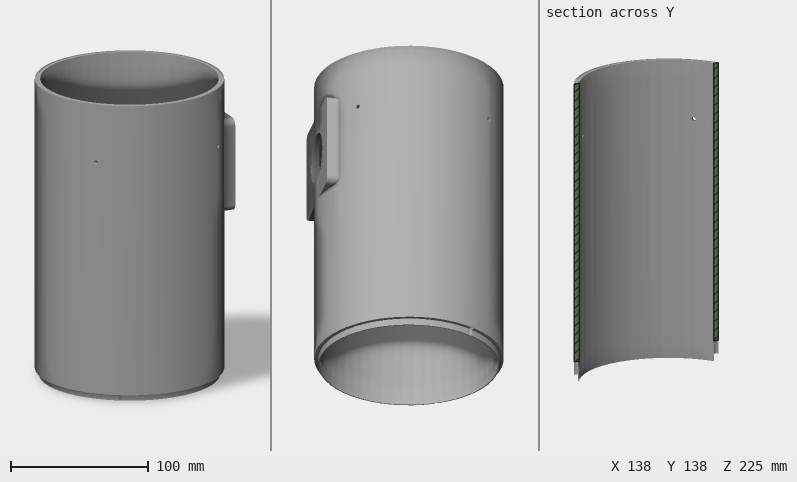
import cadquery as cq
import math

total_height = 225.0
outer_diameter = 138.0
bore_diameter = 130.0
spigot_diameter = 131.8
spigot_height = 5.0

pad_size = 70.0
pad_corner_radius = 5.0
pad_top_gap = 30.0
pad_face_y = 68.6
pad_center_z = total_height - pad_top_gap - pad_size / 2
opening_diameter = 38.0

side_hole_diameter = 3.2
side_hole_z = 181.0
side_hole_angles = (45, 135, 225, 315)

end_hole_diameter = 3.5
end_hole_depth = 15.0
end_hole_circle_radius = (outer_diameter + bore_diameter) / 4
end_hole_angles = (210, 330)


def cylinder(diameter, bottom_z, top_z):
    base = cq.Workplane("XY").workplane(offset=bottom_z)
    return base.circle(diameter / 2).extrude(top_z - bottom_z)


def mounting_pad():
    block = cq.Workplane("XY").box(pad_size, pad_face_y, pad_size, centered=(True, False, True))
    return block.edges("|Y").fillet(pad_corner_radius).translate((0, 0, pad_center_z))


def radial_hole(diameter, angle, height):
    direction = cq.Vector(math.cos(math.radians(angle)), math.sin(math.radians(angle)), 0)
    start = cq.Vector(0, 0, height)
    return cq.Workplane(cq.Solid.makeCylinder(diameter / 2, outer_diameter, start, direction))


def end_hole(angle):
    x = end_hole_circle_radius * math.cos(math.radians(angle))
    y = end_hole_circle_radius * math.sin(math.radians(angle))
    return cylinder(end_hole_diameter, 0, end_hole_depth).translate((x, y, 0))


result = cylinder(outer_diameter, spigot_height, total_height)
result = result.union(cylinder(spigot_diameter, 0, spigot_height))
result = result.union(mounting_pad())
result = result.cut(cylinder(bore_diameter, 0, total_height))
result = result.cut(radial_hole(opening_diameter, 90, pad_center_z))

for hole_angle in side_hole_angles:
    result = result.cut(radial_hole(side_hole_diameter, hole_angle, side_hole_z))

for hole_angle in end_hole_angles:
    result = result.cut(end_hole(hole_angle))